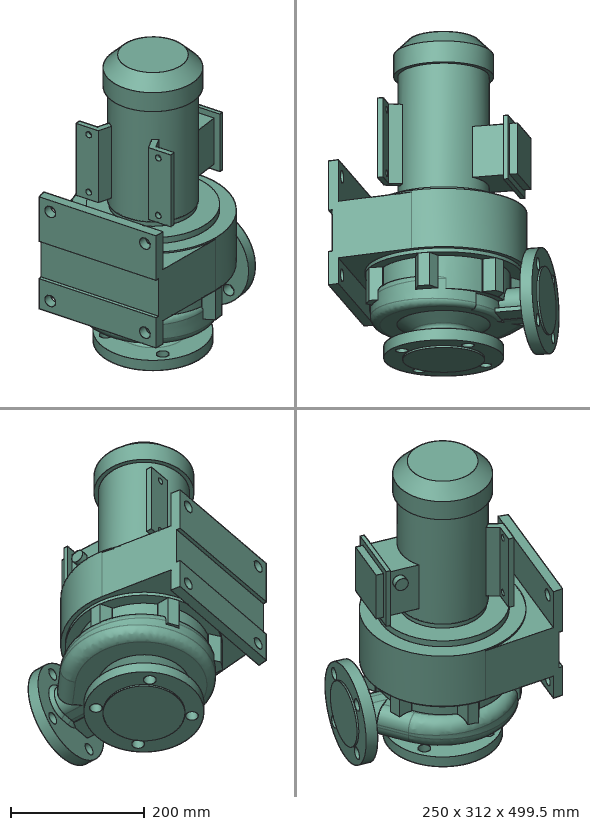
import cadquery as cq
import math


flange_hole_radius = 9.5
flange_bolts = 4
first_bolt_angle = 45.0
raised_face = 3.0

suction_radius = 90.0
suction_face_radius = 61.5
suction_top = 21.0
suction_neck_radius = 45.5
suction_neck_blend = 7.0
suction_cone_radius = 70.0
suction_cone_start = 40.5
suction_bolt_circle = 72.5

discharge_face_y = 161.0
discharge_radius = 80.0
discharge_face_radius = 51.5
discharge_thickness = 19.0
discharge_bolt_circle = 62.5
nozzle_left = -48.0
nozzle_right = 18.0
nozzle_root_y = 90.0
nozzle_flare = 6.0
nozzle_flare_angle = 45.0
web_width = 40.0
web_thickness = 6.5

volute_bottom = 55.5
volute_height = 50.0
volute_top = volute_bottom + volute_height
volute_middle = volute_bottom + volute_height / 2
volute_core_radius = 90.0
volute_inner_radius = 50.0
quarter_turn = 18.01
volute_start_angle = 45.0
volute_sweep = 272.0
volute_sections = 9
volute_start_radius = 97.0
volute_growth = 1.9 / quarter_turn
corner_start_radius = 7.5
corner_growth = 1.0 / quarter_turn
duct_length = 51.5

drum_radius = 100.0
ring_radius = 118.0
ring_bottom = 132.5
rib_count = 6
rib_bottom = 81.0
rib_tip_width = 17.5
rib_root_width = 35.0

housing_radius = 125.0
housing_bottom = 138.5
housing_top = 230.0
foot_block_top = 227.5
foot_face_y = -151.0
foot_half_width = 105.0
foot_plate_thickness = 16.0
foot_plate_bottom = 98.0
foot_plate_height = 195.0
foot_recess_depth = 6.0
foot_recess_height = 65.0
foot_hole_radius = 9.5
foot_hole_spacing_x = 170.0
foot_hole_spacing_z = 155.0

cover_radius = 100.0
cover_top = 240.5
spigot_radius = 66.5
motor_bottom = 249.0
motor_radius = 68.5
cap_bottom = 444.5
cap_radius = 75.0
cap_chamfer = 22.0
total_height = 499.5

lug_bottom = 267.5
lug_height = 125.0
lug_outer_x = 85.0
lug_front_y = -80.5
lug_thickness = 9.0
lug_bend_front_x = 45.0
lug_bend_back_x = 52.5
lug_leg_run = 11.5
lug_leg_rise = 28.5
lug_hole_x = 62.5
lug_hole_radius = 5.0
lug_hole_spacing = 100.0

box_half_width = 40.0
box_end_y = 125.0
box_bottom = 270.5
box_height = 80.0
lid_half_width = 50.5
lid_overhang = 10.0
lid_y = 106.0
lid_thickness = 7.0
gland_y = 87.5
gland_z = 329.5
gland_radius = 10.5


def disc(radius, bottom, top):
    """Vertical cylinder on the pump axis."""
    return cq.Workplane("XY").workplane(offset=bottom).circle(radius).extrude(top - bottom)


def block(x_range, y_range, z_range):
    """Box given by its limits along each axis."""
    corner = (x_range[0], y_range[0], z_range[0])
    size = (x_range[1] - x_range[0], y_range[1] - y_range[0], z_range[1] - z_range[0])
    return cq.Workplane("XY").box(*size, centered=False).translate(corner)


def suction_inlet():
    flange = disc(suction_radius, raised_face, suction_top)
    holes = (
        cq.Workplane("XY")
        .polarArray(suction_bolt_circle, first_bolt_angle, 360, flange_bolts)
        .circle(flange_hole_radius)
        .extrude(suction_top)
    )
    face = disc(suction_face_radius, 0, suction_top)
    neck = (
        cq.Workplane("XZ")
        .moveTo(0, raised_face)
        .lineTo(suction_radius, raised_face)
        .lineTo(suction_radius, suction_top)
        .lineTo(suction_neck_radius, suction_top)
        .lineTo(suction_neck_radius, suction_cone_start)
        .lineTo(suction_cone_radius, volute_bottom)
        .lineTo(0, volute_bottom)
        .close()
        .revolve(360, (0, 0, 0), (0, 1, 0))
    )
    neck = neck.edges(cq.selectors.RadiusNthSelector(0)).fillet(suction_neck_blend)
    return flange.union(neck).union(face).cut(holes)


def volute_section(travel):
    """Radial section, rounded at its outer corners, after `travel` degrees of the spiral."""
    outer = volute_start_radius + volute_growth * travel
    corner = corner_start_radius + corner_growth * travel
    angle = math.radians(volute_start_angle - travel)
    plane = cq.Plane(
        origin=(0, 0, 0),
        xDir=(math.cos(angle), math.sin(angle), 0),
        normal=(math.sin(angle), -math.cos(angle), 0),
    )
    return (
        cq.Workplane(plane)
        .moveTo(volute_inner_radius, volute_bottom)
        .lineTo(outer - corner, volute_bottom)
        .tangentArcPoint((outer, volute_bottom + corner), relative=False)
        .lineTo(outer, volute_top - corner)
        .tangentArcPoint((outer - corner, volute_top), relative=False)
        .lineTo(volute_inner_radius, volute_top)
        .close()
    )


def volute():
    step = volute_sweep / (volute_sections - 1)
    wires = [volute_section(i * step).wires().val() for i in range(volute_sections)]
    spiral = cq.Workplane(cq.Solid.makeLoft(wires))
    duct = volute_section(volute_sweep).extrude(duct_length)
    core = disc(volute_core_radius, volute_bottom, volute_top).edges().fillet(corner_start_radius)
    return core.union(spiral).union(duct)


def discharge_outlet():
    flange_back_y = discharge_face_y - raised_face - discharge_thickness
    center_x = (nozzle_left + nozzle_right) / 2
    nozzle_width = nozzle_right - nozzle_left

    def upright(y):
        """Plane facing +Y, level with the middle of the volute; its local x runs along -X."""
        return cq.Workplane("XZ", origin=(0, y, volute_middle)).transformed(rotate=(0, 180, 0))

    flange = upright(flange_back_y).circle(discharge_radius).extrude(discharge_thickness)
    face = upright(flange_back_y).circle(discharge_face_radius).extrude(discharge_thickness + raised_face)
    holes = (
        upright(flange_back_y)
        .polarArray(discharge_bolt_circle, first_bolt_angle, 360, flange_bolts)
        .circle(flange_hole_radius)
        .extrude(discharge_thickness)
    )
    nozzle = (
        upright(nozzle_root_y)
        .center(-center_x, 0)
        .slot2D(nozzle_width, volute_height)
        .extrude(flange_back_y - nozzle_root_y)
    )
    flare = (
        upright(flange_back_y)
        .center(-center_x, 0)
        .slot2D(nozzle_width + 2 * nozzle_flare, volute_height + 2 * nozzle_flare)
        .extrude(-nozzle_flare, taper=nozzle_flare_angle)
    )
    web = block(
        (0, web_width),
        (nozzle_root_y, flange_back_y),
        (volute_bottom, volute_bottom + web_thickness),
    )
    return flange.union(face).cut(holes).union(nozzle).union(flare).union(web)


def ribbed_frame():
    frame = disc(drum_radius, volute_middle, housing_bottom)
    frame = frame.union(disc(ring_radius, ring_bottom, housing_bottom))
    rib = (
        cq.Workplane("XY")
        .workplane(offset=rib_bottom)
        .polyline(
            [
                (0, -rib_root_width / 2),
                (drum_radius, -rib_root_width / 2),
                (ring_radius, -rib_tip_width / 2),
                (ring_radius, rib_tip_width / 2),
                (drum_radius, rib_root_width / 2),
                (0, rib_root_width / 2),
            ]
        )
        .close()
        .extrude(ring_bottom - rib_bottom)
    )
    for i in range(rib_count):
        frame = frame.union(rib.rotate((0, 0, 0), (0, 0, 1), i * 360 / rib_count))
    return frame


def foot_outline(bottom, height):
    """Prism whose sides run tangent from the housing to the ends of the foot face."""
    corner_distance = math.hypot(foot_half_width, foot_face_y)
    corner_angle = math.atan2(foot_face_y, foot_half_width)
    tangent_angle = corner_angle + math.acos(housing_radius / corner_distance)
    tangent_x = housing_radius * math.cos(tangent_angle)
    tangent_y = housing_radius * math.sin(tangent_angle)
    return (
        cq.Workplane("XY")
        .workplane(offset=bottom)
        .moveTo(-tangent_x, tangent_y)
        .lineTo(-foot_half_width, foot_face_y)
        .lineTo(foot_half_width, foot_face_y)
        .lineTo(tangent_x, tangent_y)
        .close()
        .extrude(height)
    )


def housing_with_foot():
    foot_plate_top = foot_plate_bottom + foot_plate_height
    plate_center_z = (foot_plate_bottom + foot_plate_top) / 2
    recess_center_z = (housing_bottom + foot_block_top) / 2
    plate_back_y = foot_face_y + foot_plate_thickness
    wide = (-housing_radius, housing_radius)

    plate = foot_outline(foot_plate_bottom, foot_plate_height).intersect(
        block(wide, (foot_face_y, plate_back_y), (foot_plate_bottom, foot_plate_top))
    )
    holes = (
        cq.Workplane("XZ", origin=(0, plate_back_y, plate_center_z))
        .rarray(foot_hole_spacing_x, foot_hole_spacing_z, 2, 2)
        .circle(foot_hole_radius)
        .extrude(foot_plate_thickness)
    )
    recess = block(
        wide,
        (foot_face_y, foot_face_y + foot_recess_depth),
        (recess_center_z - foot_recess_height / 2, recess_center_z + foot_recess_height / 2),
    )
    foot = foot_outline(housing_bottom, foot_block_top - housing_bottom).union(plate).cut(holes).cut(recess)
    return disc(housing_radius, housing_bottom, housing_top).union(foot)


def motor_body():
    cap = disc(cap_radius, cap_bottom, total_height).faces(">Z").edges().chamfer(cap_chamfer)
    return (
        disc(cover_radius, housing_top, cover_top)
        .union(disc(spigot_radius, cover_top, motor_bottom))
        .union(disc(motor_radius, motor_bottom, cap_bottom))
        .union(cap)
    )


def motor_lugs():
    """Two bent mounting lugs on the -Y side, mirrored about the YZ plane."""
    lug_back_y = lug_front_y + lug_thickness
    lug = (
        cq.Workplane("XY")
        .workplane(offset=lug_bottom)
        .moveTo(lug_outer_x, lug_front_y)
        .lineTo(lug_bend_front_x, lug_front_y)
        .line(-lug_leg_run, lug_leg_rise)
        .lineTo(lug_bend_back_x - lug_leg_run, lug_back_y + lug_leg_rise)
        .lineTo(lug_bend_back_x, lug_back_y)
        .lineTo(lug_outer_x, lug_back_y)
        .close()
        .extrude(lug_height)
    )
    holes = (
        cq.Workplane("XZ", origin=(lug_hole_x, lug_back_y, lug_bottom + lug_height / 2))
        .rarray(5, lug_hole_spacing, 1, 2)
        .circle(lug_hole_radius)
        .extrude(lug_thickness)
    )
    lug = lug.cut(holes)
    return lug.union(lug.mirror("YZ"))


def terminal_box():
    box_top = box_bottom + box_height
    box = block((-box_half_width, box_half_width), (0, box_end_y), (box_bottom, box_top))
    lid = block(
        (-lid_half_width, lid_half_width),
        (lid_y, lid_y + lid_thickness),
        (box_bottom - lid_overhang, box_top + lid_overhang),
    )
    gland = (
        cq.Workplane("YZ", origin=(-lid_half_width, gland_y, gland_z))
        .circle(gland_radius)
        .extrude(lid_half_width)
    )
    return box.union(lid).union(gland)


result = (
    suction_inlet()
    .union(volute())
    .union(discharge_outlet())
    .union(ribbed_frame())
    .union(housing_with_foot())
    .union(motor_body())
    .union(motor_lugs())
    .union(terminal_box())
)